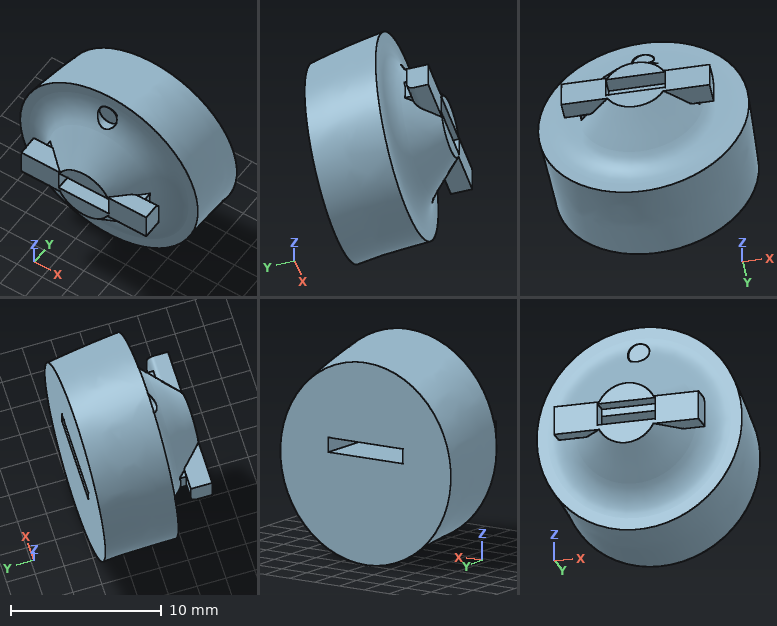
import cadquery as cq
import math


body_length = 5.0
rim_half_width = 7.115
rim_half_height = 7.18
back_half_width = 6.87
back_half_height = 6.89
mid_drop = 0.43
back_drop = 1.06

nose_length = 3.0
tip_radius = 1.5 * math.sqrt(2)
cone_angle = math.radians(45)
flare_radius = 3.0
nose_overlap = 1.0

bar_width = 10.0
bar_height = 1.96
bar_depth = 1.5
bar_round = 0.5

block_width = 8.0
block_height = 1.5
block_depth = 1.0

slot_bottom = -0.65
mouth_width = 4.0
mouth_height = 1.5
mouth_depth = 1.05
channel_width = 6.0
channel_height = 1.0

marker_diameter = 1.5
marker_height = 5.26

tip_y = -nose_length
bar_back_y = tip_y + bar_depth


def box_between(x_start, width, y_start, depth, z_start, height):
    """Box given by its lowest corner and its size along each axis."""
    return cq.Workplane("XY").box(width, depth, height, centered=False).translate((x_start, y_start, z_start))


def centered_box(width, y_start, depth, z_start, height):
    """Box that is symmetric about X = 0."""
    return box_between(-width / 2, width, y_start, depth, z_start, height)


def make_body():
    """Smooth loft through three ellipses whose centers sink along +Y."""
    mid_half_width = (rim_half_width + back_half_width) / 2
    mid_half_height = (rim_half_height + back_half_height) / 2
    return (
        cq.Workplane("XZ")
        .ellipse(rim_half_width, rim_half_height)
        .workplane(offset=-body_length / 2)
        .center(0, -mid_drop)
        .ellipse(mid_half_width, mid_half_height)
        .workplane(offset=-body_length / 2)
        .center(0, mid_drop - back_drop)
        .ellipse(back_half_width, back_half_height)
        .loft()
    )


def make_nose():
    """Revolve the cone and flare about the Y axis, overlapping into the body."""
    flare_end_y = -flare_radius * (1 - math.cos(cone_angle))
    cone_end_radius = tip_radius + (flare_end_y - tip_y) * math.tan(cone_angle)
    flare_outer = cone_end_radius + flare_radius * math.sin(cone_angle)
    half_angle = cone_angle / 2
    flare_mid = (
        flare_outer - flare_radius * math.sin(half_angle),
        -flare_radius * (1 - math.cos(half_angle)),
    )
    return (
        cq.Workplane("XY")
        .moveTo(0, tip_y)
        .lineTo(tip_radius, tip_y)
        .lineTo(cone_end_radius, flare_end_y)
        .threePointArc(flare_mid, (flare_outer, 0))
        .lineTo(flare_outer, nose_overlap)
        .lineTo(0, nose_overlap)
        .close()
        .revolve(360, (0, 0, 0), (0, 1, 0))
    )


def make_wing():
    """The +X wing of the bar, rounded along its upper back edge."""
    wing = box_between(0, bar_width / 2, tip_y, bar_depth, -bar_height / 2, bar_height)
    return wing.edges(">Y and >Z").fillet(bar_round)


def make_bar():
    """Two wings, each the other turned half a turn about the nose axis."""
    wing = make_wing()
    return wing.union(wing.rotate((0, 0, 0), (0, 1, 0), 180))


def make_block():
    """Backing block from inside the bar to inside the nose."""
    start_y = bar_back_y - bar_round
    return centered_box(block_width, start_y, bar_round + block_depth, slot_bottom, block_height)


def make_slot():
    """Mouth and channel with a common flat floor."""
    mouth = centered_box(mouth_width, tip_y, mouth_depth, slot_bottom, mouth_height)
    channel_start_y = tip_y + mouth_depth
    channel_length = body_length - channel_start_y
    channel = centered_box(channel_width, channel_start_y, channel_length, slot_bottom, channel_height)
    return mouth.union(channel)


def make_marker_hole():
    """Cutter running from the tip plane to the rim plane."""
    return (
        cq.Workplane("XZ")
        .center(0, marker_height)
        .circle(marker_diameter / 2)
        .extrude(nose_length)
    )


knob = make_body().union(make_nose()).union(make_bar()).union(make_block())
result = knob.cut(make_slot()).cut(make_marker_hole())